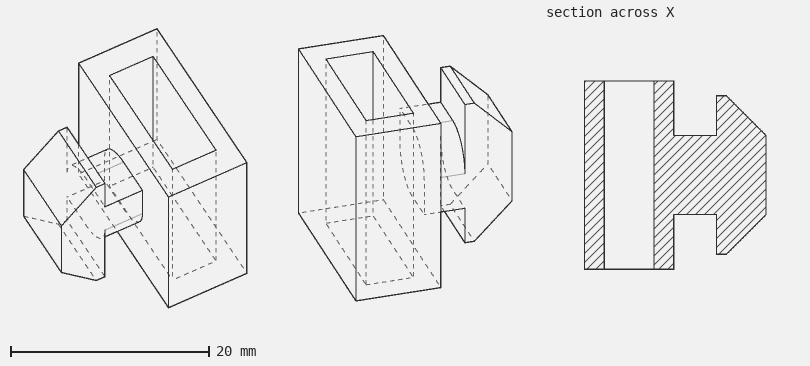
import cadquery as cq
import math

body_width = 19.0
body_depth = 9.0
body_height = 19.0
wall = 2.0
window_width = 13.3
window_depth = body_depth - 2 * wall

neck_size = 8.0
neck_length = 4.3
head_height = 16.0
head_rim = 1.0
head_bevel = 4.0

head_back = -neck_length
bevel_start = head_back - head_rim
head_front = bevel_start - head_bevel


def make_body():
    """Block with a rectangular window running right through along Z."""
    block = cq.Workplane("XY").box(body_width, body_depth, body_height)
    window = cq.Workplane("XY").box(window_width, window_depth, body_height)
    return block.cut(window).translate((0, body_depth / 2, 0))


def make_neck():
    """Square neck with two opposite corners rounded so that it can turn in a slot."""
    half = neck_size / 2
    arc_middle = half * math.sqrt(0.5)
    root = wall / 2
    return (
        cq.Workplane("XZ", origin=(0, root, 0))
        .moveTo(-half, -half)
        .lineTo(-half, 0)
        .threePointArc((-arc_middle, arc_middle), (0, half))
        .lineTo(half, half)
        .lineTo(half, 0)
        .threePointArc((arc_middle, -arc_middle), (0, -half))
        .close()
        .extrude(root + neck_length)
    )


def make_head():
    """Bar with both ends beveled towards its front face."""
    half = head_height / 2
    outline = [
        (head_back, -half),
        (bevel_start, -half),
        (head_front, -half + head_bevel),
        (head_front, half - head_bevel),
        (bevel_start, half),
        (head_back, half),
    ]
    return cq.Workplane("YZ").polyline(outline).close().extrude(neck_size / 2, both=True)


result = make_body().union(make_neck()).union(make_head())